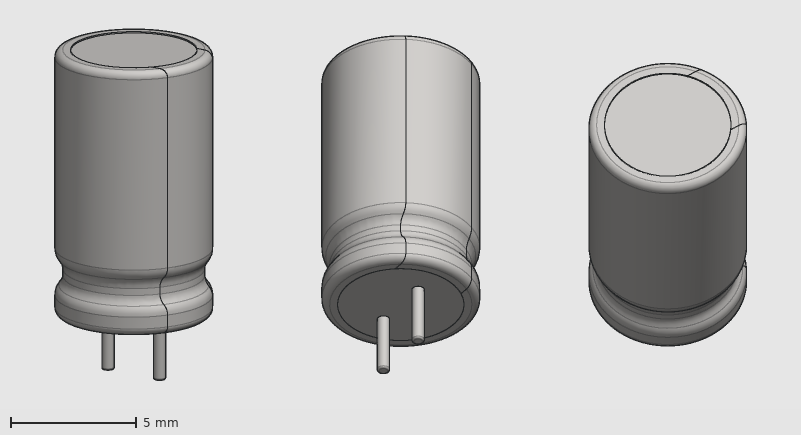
import cadquery as cq
import math

total_height = 13.5
can_diameter = 6.3
can_radius = can_diameter / 2

rim_fillet = can_radius / 10
core_radius = can_radius * 0.8
top_recess = 0.05

neck_radius = can_radius * 0.9
groove_start = 0.81
lower_flank_height = 0.81
neck_height = 0.28
upper_flank_height = 0.86

stripe_width = can_diameter / 2

lead_diameter = 0.5
lead_spacing = 2.5
lead_length = 2.5
lead_tip_fillet = 0.08

can_bottom = lead_length
can_height = total_height - lead_length


def add_flank(profile, start_radius, end_radius, start_z, height):
    """Add an S-curve of two equal arcs, vertical at both of its ends."""
    half_step = (end_radius - start_radius) / 2
    half_height = height / 2
    sweep = 2 * math.atan(abs(half_step) / half_height)
    arc_radius = half_height / math.sin(sweep)
    sag = math.copysign(arc_radius * (1 - math.cos(sweep / 2)), half_step)
    rise = arc_radius * math.sin(sweep / 2)
    end_z = start_z + height
    inflection = (start_radius + half_step, start_z + half_height)
    return (
        profile
        .threePointArc((start_radius + sag, start_z + rise), inflection)
        .threePointArc((end_radius - sag, end_z - rise), (end_radius, end_z))
    )


def make_wall():
    """Complete grooved ring around the core, before the stripe is split off."""
    neck_start = can_bottom + groove_start + lower_flank_height
    neck_end = neck_start + neck_height
    profile = (
        cq.Workplane("XZ")
        .moveTo(core_radius, can_bottom)
        .lineTo(can_radius, can_bottom)
        .lineTo(can_radius, can_bottom + groove_start)
    )
    profile = add_flank(profile, can_radius, neck_radius, can_bottom + groove_start, lower_flank_height)
    profile = profile.lineTo(neck_radius, neck_end)
    profile = add_flank(profile, neck_radius, can_radius, neck_end, upper_flank_height)
    wall = (
        profile
        .lineTo(can_radius, total_height)
        .lineTo(core_radius, total_height)
        .close()
        .revolve(360, (0, 0, 0), (0, 1, 0))
    )
    outer_rims = cq.selectors.RadiusNthSelector(-1)
    wall = wall.faces(">Z").edges(outer_rims).fillet(rim_fillet)
    return wall.faces("<Z").edges(outer_rims).fillet(rim_fillet)


def make_stripe_zone():
    """Block that bounds the stripe, from the can axis to well beyond its +X side."""
    return (
        cq.Workplane("XY", origin=(0, 0, can_bottom))
        .box(can_diameter, stripe_width, can_height, centered=(False, True, False))
    )


def make_core():
    """Can core, sunk slightly below the top rim of the sleeve."""
    return (
        cq.Workplane("XY", origin=(0, 0, can_bottom))
        .circle(core_radius)
        .extrude(can_height - top_recess)
    )


def make_lead(x):
    """Round lead with a rounded tip, ending against the core bottom."""
    return (
        cq.Workplane("XY", origin=(x, 0, 0))
        .circle(lead_diameter / 2)
        .extrude(lead_length)
        .faces("<Z")
        .edges()
        .fillet(lead_tip_fillet)
    )


wall = make_wall()
stripe_zone = make_stripe_zone()
sleeve = wall.cut(stripe_zone)
stripe = wall.intersect(stripe_zone)
core = make_core()

leads = []
for side in (-1, 1):
    leads.append(make_lead(side * lead_spacing / 2).val())

result = cq.Compound.makeCompound([sleeve.solids().val(), stripe.solids().val(), core.val(), *leads])